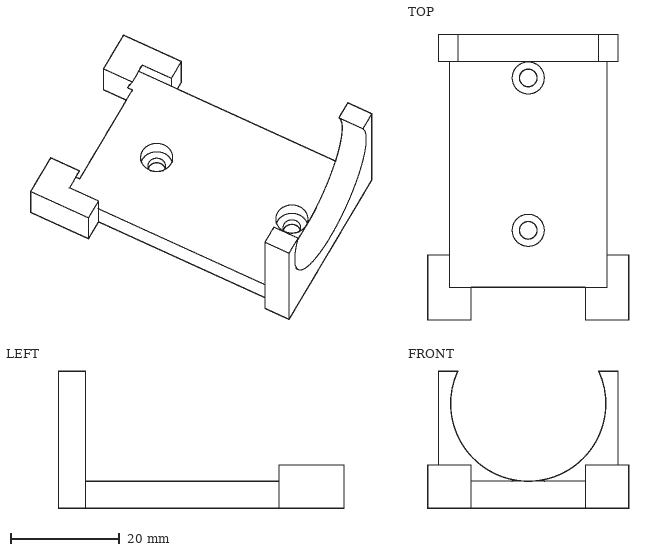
import cadquery as cq

plate_width = 29.0
plate_length = 41.5
plate_thickness = 5.0

wall_width = 33.0
wall_thickness = 5.0
wall_height = 25.25
cradle_diameter = 28.5
cradle_center_z = plate_thickness + cradle_diameter / 2

block_width = 8.0
block_length = 12.0
block_height = 8.0
block_span = 37.0
block_overhang = 6.0
block_undercut = 1.0

hole_diameter = 3.2
counterbore_diameter = 5.9
counterbore_depth = 3.2
hole_spacing = 28.0
rear_hole_setback = 3.0

plate_front_y = block_overhang
wall_front_y = plate_front_y + plate_length
rear_hole_y = wall_front_y - rear_hole_setback
front_hole_y = rear_hole_y - hole_spacing


def box_on_base(width, length, height, center_x, front_y):
    """Box standing on Z = 0, centred on center_x and starting at front_y."""
    return (
        cq.Workplane("XY")
        .box(width, length, height, centered=(True, False, False))
        .translate((center_x, front_y, 0))
    )


def make_plate():
    return box_on_base(plate_width, plate_length, plate_thickness, 0, plate_front_y)


def make_cradle_wall():
    """Wall with a round cradle that is open at the top and touches the plate level."""
    wall = box_on_base(wall_width, wall_thickness, wall_height, 0, wall_front_y)
    cradle = (
        cq.Workplane("XZ", origin=(0, wall_front_y, cradle_center_z))
        .circle(cradle_diameter / 2)
        .extrude(-wall_thickness)
    )
    return wall.cut(cradle)


def make_corner_block(side):
    """L-shaped block cleared above the plate, with an undercut face along the plate's front edge."""
    center_x = side * (block_span - block_width) / 2
    block = box_on_base(block_width, block_length, block_height, center_x, 0)
    plate_clearance = box_on_base(plate_width, plate_length, block_height, 0, plate_front_y)
    undercut = (
        cq.Workplane("YZ")
        .moveTo(plate_front_y, block_height)
        .lineTo(plate_front_y - block_undercut, plate_thickness)
        .lineTo(plate_front_y, plate_thickness)
        .close()
        .extrude(plate_width / 2, both=True)
    )
    return block.cut(plate_clearance).cut(undercut)


def make_screw_hole(center_y):
    """Cutting body of a through hole with a counterbore sunk from the plate's top face."""
    through_hole = (
        cq.Workplane("XY", origin=(0, center_y, 0))
        .circle(hole_diameter / 2)
        .extrude(plate_thickness)
    )
    counterbore = (
        cq.Workplane("XY", origin=(0, center_y, plate_thickness))
        .circle(counterbore_diameter / 2)
        .extrude(-counterbore_depth)
    )
    return through_hole.union(counterbore)


result = make_plate().union(make_cradle_wall())
for side in (-1, 1):
    result = result.union(make_corner_block(side))

for hole_y in (rear_hole_y, front_hole_y):
    result = result.cut(make_screw_hole(hole_y))